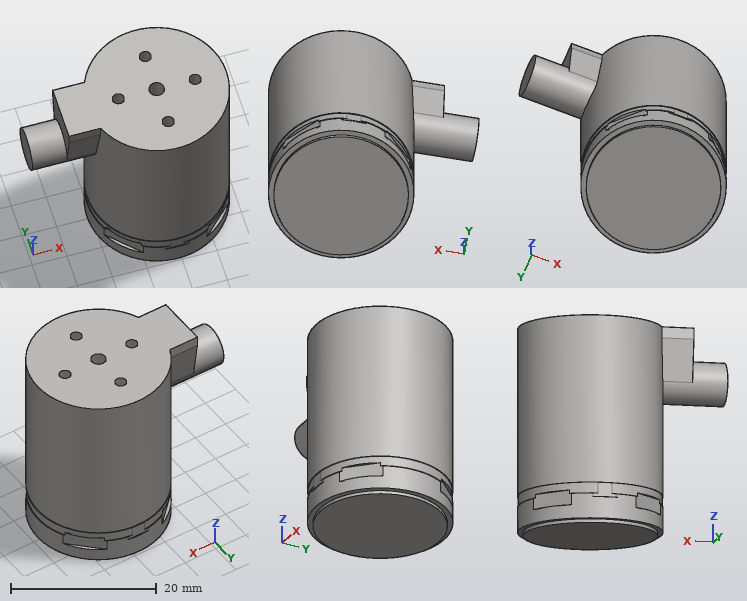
import cadquery as cq
import math

height = 29.0
body_radius = 10.0

foot_height = 0.5
foot_radius = 9.25

groove_bottom = 4.0
groove_top = 5.5
groove_depth = 0.095
groove_radius = body_radius - groove_depth

wrench_flat_distance = 9.5
wrench_flat_bottom = 2.4
wrench_flat_top = 4.5
wrench_flat_angles = (45, 135, 225, 315)
index_flat_distance = 9.85
index_flat_bottom = 3.5
index_flat_angles = (90, 270)

cable_radius = 3.02
cable_axis_z = height - 7.0
cable_end_x = -18.7
outlet_face_x = -13.75
outlet_width = 7.8
outlet_straight_height = 1.57

centre_hole_diameter = 2.1
bolt_hole_diameter = 1.62
bolt_circle_radius = 5.5
bolt_hole_count = 4
hole_depth = 5.8
drill_point_angle = 118.0


def make_body():
    body = cq.Workplane("XY").circle(foot_radius).extrude(foot_height)
    barrel = cq.Workplane("XY", origin=(0, 0, foot_height)).circle(body_radius)
    return body.union(barrel.extrude(height - foot_height))


def make_groove():
    band = cq.Workplane("XY", origin=(0, 0, groove_bottom))
    return band.circle(2 * body_radius).circle(groove_radius).extrude(groove_top - groove_bottom)


def make_flat_cutter(distance, bottom, top, angle):
    """Block that removes everything beyond a flat facing the given direction."""
    block = cq.Workplane("XY").box(
        body_radius, 2 * body_radius, top - bottom, centered=(False, True, False)
    )
    return block.translate((distance, 0, bottom)).rotate((0, 0, 0), (0, 0, 1), angle)


def make_outlet():
    """Block whose sides taper in until they run tangent into the cable."""
    half_width = outlet_width / 2
    shoulder_z = height - outlet_straight_height
    rise = shoulder_z - cable_axis_z
    tangent_angle = math.atan2(rise, half_width) - math.acos(cable_radius / math.hypot(half_width, rise))
    tangent_y = cable_radius * math.cos(tangent_angle)
    tangent_z = cable_axis_z + cable_radius * math.sin(tangent_angle)
    profile = cq.Workplane("YZ", origin=(outlet_face_x, 0, 0)).polyline([
        (-half_width, height),
        (half_width, height),
        (half_width, shoulder_z),
        (tangent_y, tangent_z),
        (-tangent_y, tangent_z),
        (-half_width, shoulder_z),
    ])
    return profile.close().extrude(-outlet_face_x)


def make_cable():
    end_face = cq.Workplane("YZ", origin=(cable_end_x, 0, cable_axis_z))
    return end_face.circle(cable_radius).extrude(-cable_end_x)


def make_drill(diameter, x, y):
    """Cylinder with a conical tip, reaching down from the top face."""
    radius = diameter / 2
    tip_length = radius / math.tan(math.radians(drill_point_angle / 2))
    profile = cq.Workplane("XZ").polyline([
        (0, height),
        (radius, height),
        (radius, height - hole_depth),
        (0, height - hole_depth - tip_length),
    ])
    return profile.close().revolve(360, (0, 0, 0), (0, 1, 0)).translate((x, y, 0))


result = make_body().cut(make_groove())

for angle in wrench_flat_angles:
    result = result.cut(
        make_flat_cutter(wrench_flat_distance, wrench_flat_bottom, wrench_flat_top, angle)
    )
for angle in index_flat_angles:
    result = result.cut(make_flat_cutter(index_flat_distance, index_flat_bottom, groove_top, angle))

result = result.union(make_outlet()).union(make_cable())

result = result.cut(make_drill(centre_hole_diameter, 0, 0))
for index in range(bolt_hole_count):
    angle = 2 * math.pi * index / bolt_hole_count
    x = bolt_circle_radius * math.cos(angle)
    y = bolt_circle_radius * math.sin(angle)
    result = result.cut(make_drill(bolt_hole_diameter, x, y))